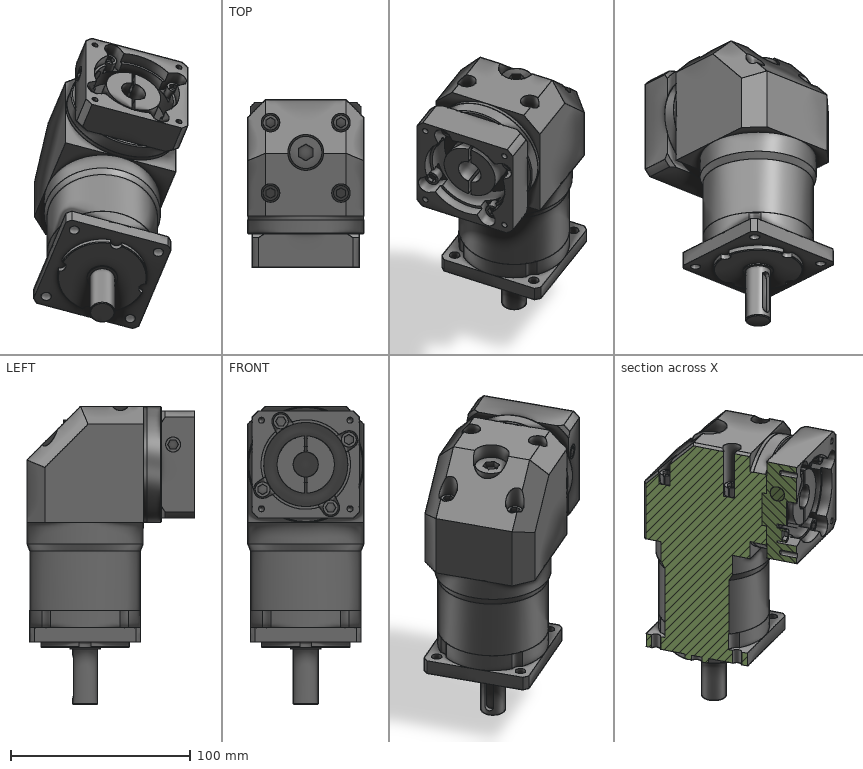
import cadquery as cq
import math


TOTAL_HEIGHT = 166.5
TOTAL_DEPTH = 93.5

HOUSING_WIDTH = 65.0
HOUSING_HALF = HOUSING_WIDTH / 2
SLANT = 30.0
SIDE_BEVEL = 10.0

COLLAR_BOTTOM = -44.3
CONE_BOTTOM = -48.3
SCALLOP_TOP = -81.6
FLANGE_TOP = -91.0
FLANGE_BOTTOM = -99.2
SPIGOT_BOTTOM = -102.2
SHAFT_SHOULDER = -103.0
SHAFT_END = HOUSING_HALF - TOTAL_HEIGHT

BASE_RADIUS = 31.0
BASE_STEP = 0.08
BARREL_RADIUS = BASE_RADIUS - BASE_STEP
SPIGOT_RADIUS = 25.0
SHOULDER_RADIUS = 8.5
SHAFT_RADIUS = 7.0
EDGE_CHAMFER = 0.5

FLANGE_CORNER_RADIUS = 42.0
BOLT_CIRCLE_RADIUS = 35.0
FLANGE_HOLE_RADIUS = 2.8
SCALLOP_RADIUS = 5.3
SPIGOT_NOTCH_RADIUS = 3.3

KEY_WIDTH = 5.0
KEY_LENGTH = 25.0
KEY_DEPTH = 3.0

NECK_WIDTH = 2.2
NECK_DEPTH = 0.2
RING_CHAMFER = 0.7

ADAPTER_FRONT = HOUSING_HALF - TOTAL_DEPTH
ADAPTER_BACK = -42.6
ADAPTER_WIDTH = 60.0
ADAPTER_CORNER_RADIUS = 40.0
ADAPTER_CORNER_CHAMFER = 2.0
PILOT_RADIUS = 25.0
PILOT_DEPTH = 6.2
CAVITY_RADIUS = 23.5
CENTRING_RADIUS = 25.8
CAVITY_FLOOR = ADAPTER_FRONT + 21.1
MOTOR_HOLE_RADIUS = 1.7
MOTOR_HOLE_DEPTH = 10.0
DRILL_TIP_HEIGHT = 1.0

SCREW_CIRCLE_RADIUS = 27.8
SCREW_HEAD_RADIUS = 4.2
SCREW_HEX_FLATS = 5.0
SCREW_HEX_DEPTH = 2.5
SCREW_HEAD_HEIGHT = 5.7
ADAPTER_BORE_RADIUS = 5.0
ADAPTER_BORE_DEPTH = 12.2
ADAPTER_SCREW_ANGLE = 30
LOBE_MOUTH_HALF_WIDTH = 5.5
LOBE_OVERLAP = 1.7
HOUSING_BORE_RADIUS = 5.2
HOUSING_BORE_FLOOR = 3.5

TOP_PLUG_Y = 3.0
TOP_PLUG_RADIUS = 9.0
TOP_PLUG_TOP = 25.0
TOP_PLUG_BORE_RADIUS = 10.0
TOP_PLUG_BORE_FLOOR = 20.0
TOP_PLUG_HEX_FLATS = 8.0
TOP_PLUG_HEX_DEPTH = 3.3

HUB_RADIUS = 16.0
HUB_FRONT = ADAPTER_FRONT + 6.0
HUB_BORE_RADIUS = 7.0
HUB_SLIT_WIDTH = 1.7
HUB_BORE_FLOOR = CAVITY_FLOOR + 3.3
HUB_RELIEF_RADIUS = 10.2
HUB_RELIEF_FLOOR = CAVITY_FLOOR + 1.0

CLAMP_Y = ADAPTER_FRONT + 12.0
CLAMP_Z = 11.2
CLAMP_HOLE_RADIUS = 3.3
ACCESS_PLUG_RADIUS = 4.2
ACCESS_PLUG_HEX_FLATS = 5.2
ACCESS_PLUG_HEX_DEPTH = 2.5


def cylinder_z(x, y, radius, bottom, top):
    return cq.Workplane("XY", origin=(x, y, bottom)).circle(radius).extrude(top - bottom)


def cylinder_y(x, z, radius, back, front):
    return cq.Workplane("XZ", origin=(x, back, z)).circle(radius).extrude(back - front)


def hex_corners(flats):
    """Diameter across the corners of a hexagon with the given width across flats."""
    return flats / math.cos(math.pi / 6)


def hex_socket_z(x, y, flats, top, depth):
    socket = cq.Workplane("XY").polygon(6, hex_corners(flats)).extrude(-depth)
    return socket.rotate((0, 0, 0), (0, 0, 1), 30).translate((x, y, top))


def around(radius, first_angle):
    """Four points a quarter turn apart on a circle."""
    angles = [math.radians(first_angle + 90 * i) for i in range(4)]
    return [(radius * math.cos(a), radius * math.sin(a)) for a in angles]




def angle_housing():
    """Block with a slanted back top edge and bevelled side edges."""
    h = HOUSING_HALF
    outline = [(-h, -h), (h, -h), (h, h - SLANT), (h - SLANT, h), (-h, h)]
    block = cq.Workplane("YZ", origin=(-h, 0, 0)).polyline(outline).close().extrude(HOUSING_WIDTH)
    bevelled = block.faces("<X or >X").edges("not(<Y or <Z)")
    return bevelled.chamfer(SIDE_BEVEL)


def output_barrel():
    """Turned barrel, spigot and shaft, revolved about Z."""
    profile = [
        (0, -HOUSING_HALF),
        (HOUSING_HALF, -HOUSING_HALF),
        (HOUSING_HALF, COLLAR_BOTTOM),
        (BARREL_RADIUS, CONE_BOTTOM),
        (BARREL_RADIUS, SCALLOP_TOP),
        (BASE_RADIUS, SCALLOP_TOP),
        (BASE_RADIUS, FLANGE_BOTTOM),
        (SPIGOT_RADIUS, FLANGE_BOTTOM),
        (SPIGOT_RADIUS, SPIGOT_BOTTOM + EDGE_CHAMFER),
        (SPIGOT_RADIUS - EDGE_CHAMFER, SPIGOT_BOTTOM),
        (SHOULDER_RADIUS, SPIGOT_BOTTOM),
        (SHOULDER_RADIUS, SHAFT_SHOULDER),
        (SHAFT_RADIUS, SHAFT_SHOULDER),
        (SHAFT_RADIUS, SHAFT_END + EDGE_CHAMFER),
        (SHAFT_RADIUS - EDGE_CHAMFER, SHAFT_END),
        (0, SHAFT_END),
    ]
    return cq.Workplane("XZ").polyline(profile).close().revolve(360, (0, 0, 0), (0, 1, 0))


def output_flange():
    """Square flange with its corners turned round."""
    width = 2 * BASE_RADIUS
    plate = cq.Workplane("XY", origin=(0, 0, FLANGE_BOTTOM)).rect(width, width)
    plate = plate.extrude(FLANGE_TOP - FLANGE_BOTTOM)
    return plate.intersect(cylinder_z(0, 0, FLANGE_CORNER_RADIUS, FLANGE_BOTTOM, FLANGE_TOP))


def cut_flange(body):
    """Bolt holes, the scallops above them and the notches in the spigot."""
    for x, y in around(BOLT_CIRCLE_RADIUS, 45):
        body = body.cut(cylinder_z(x, y, FLANGE_HOLE_RADIUS, FLANGE_BOTTOM, FLANGE_TOP))
        body = body.cut(cylinder_z(x, y, SCALLOP_RADIUS, FLANGE_TOP, SCALLOP_TOP))
    for x, y in around(SPIGOT_RADIUS, 0):
        body = body.cut(cylinder_z(x, y, SPIGOT_NOTCH_RADIUS, SPIGOT_BOTTOM, FLANGE_BOTTOM))
    return body


def keyway():
    middle = (SHAFT_SHOULDER + SHAFT_END) / 2
    slot = cq.Workplane("XZ", origin=(0, SHAFT_RADIUS, middle)).slot2D(KEY_LENGTH, KEY_WIDTH, 90)
    return slot.extrude(KEY_DEPTH)


def input_ring():
    """Round ring on the input face, slightly necked next to the housing."""
    neck_front = -HOUSING_HALF - NECK_WIDTH
    neck = cylinder_y(0, 0, HOUSING_HALF - NECK_DEPTH, -HOUSING_HALF, neck_front)
    ring = cylinder_y(0, 0, HOUSING_HALF, neck_front, ADAPTER_BACK)
    ring = ring.faces("<Y").chamfer(RING_CHAMFER)
    recess = cylinder_y(0, 0, CENTRING_RADIUS, CAVITY_FLOOR, ADAPTER_BACK)
    return ring.cut(recess).union(neck)


def clamping_hub():
    return cylinder_y(0, 0, HUB_RADIUS, CAVITY_FLOOR, HUB_FRONT)


def hub_cuts():
    """Bore with a recess behind the slit, clamping slit and cross hole for the clamp screw."""
    bore = cylinder_y(0, 0, HUB_BORE_RADIUS, HUB_BORE_FLOOR, HUB_FRONT)
    relief = cylinder_y(0, 0, HUB_RELIEF_RADIUS, HUB_RELIEF_FLOOR, CAVITY_FLOOR)
    slit = cq.Workplane("XZ", origin=(0, CAVITY_FLOOR, 0)).rect(HUB_SLIT_WIDTH, 2 * HUB_RADIUS)
    slit = slit.extrude(CAVITY_FLOOR - HUB_FRONT)
    cross = cq.Workplane("YZ", origin=(0, CLAMP_Y, CLAMP_Z)).circle(CLAMP_HOLE_RADIUS)
    cross = cross.extrude(HUB_RADIUS, both=True)
    return bore.union(relief).union(slit).union(cross)


def add_housing_screws(body):
    """Sunk socket screws that hold the housing down on the barrel."""
    head_top = HOUSING_BORE_FLOOR + SCREW_HEAD_HEIGHT
    for x, y in around(SCREW_CIRCLE_RADIUS, 45):
        body = body.cut(cylinder_z(x, y, HOUSING_BORE_RADIUS, HOUSING_BORE_FLOOR, HOUSING_HALF))
        head = cylinder_z(x, y, SCREW_HEAD_RADIUS, HOUSING_BORE_FLOOR, head_top)
        body = body.union(head.cut(hex_socket_z(x, y, SCREW_HEX_FLATS, head_top, SCREW_HEX_DEPTH)))
    return body


def add_top_plug(body):
    """Socket plug in a bore that breaks out through the slanted face."""
    y = TOP_PLUG_Y
    bore = cylinder_z(0, y, TOP_PLUG_BORE_RADIUS, TOP_PLUG_BORE_FLOOR, HOUSING_HALF)
    plug = cylinder_z(0, y, TOP_PLUG_RADIUS, TOP_PLUG_BORE_FLOOR, TOP_PLUG_TOP)
    socket = hex_socket_z(0, y, TOP_PLUG_HEX_FLATS, TOP_PLUG_TOP, TOP_PLUG_HEX_DEPTH)
    return body.cut(bore).union(plug.cut(socket))


def make_gearbox():
    body = angle_housing().union(output_barrel()).union(output_flange())
    body = cut_flange(body).cut(keyway())
    body = body.union(input_ring()).union(clamping_hub()).cut(hub_cuts())
    body = add_housing_screws(body)
    return add_top_plug(body)




def adapter_block():
    """Square block with turned corners, chamfered at the back."""
    block = cq.Workplane("XZ", origin=(0, ADAPTER_BACK, 0)).rect(ADAPTER_WIDTH, ADAPTER_WIDTH)
    block = block.extrude(ADAPTER_BACK - ADAPTER_FRONT)
    disc = cylinder_y(0, 0, ADAPTER_CORNER_RADIUS, ADAPTER_BACK, ADAPTER_FRONT)
    return block.intersect(disc.faces(">Y").chamfer(ADAPTER_CORNER_CHAMFER))


def screw_lobe():
    """Screw counterbore that opens towards the pilot bore, on the +X axis."""
    bore_back = ADAPTER_FRONT + ADAPTER_BORE_DEPTH
    bore = cylinder_y(SCREW_CIRCLE_RADIUS, 0, ADAPTER_BORE_RADIUS, bore_back, ADAPTER_FRONT)
    inner = CAVITY_RADIUS - LOBE_OVERLAP
    mouth = [
        (SCREW_CIRCLE_RADIUS, ADAPTER_BORE_RADIUS),
        (inner, LOBE_MOUTH_HALF_WIDTH),
        (inner, -LOBE_MOUTH_HALF_WIDTH),
        (SCREW_CIRCLE_RADIUS, -ADAPTER_BORE_RADIUS),
    ]
    channel = cq.Workplane("XZ", origin=(0, bore_back, 0)).polyline(mouth).close()
    return bore.union(channel.extrude(ADAPTER_BORE_DEPTH))


def adapter_screw():
    """Socket screw head standing on the lobe floor, on the +X axis."""
    floor = ADAPTER_FRONT + ADAPTER_BORE_DEPTH
    front = floor - SCREW_HEAD_HEIGHT
    head = cylinder_y(SCREW_CIRCLE_RADIUS, 0, SCREW_HEAD_RADIUS, floor, front)
    socket = cq.Workplane("XZ", origin=(SCREW_CIRCLE_RADIUS, front, 0))
    socket = socket.polygon(6, hex_corners(SCREW_HEX_FLATS)).extrude(-SCREW_HEX_DEPTH)
    return head.cut(socket)


def motor_hole(x, z):
    """Blind drilled hole with a conical tip."""
    tip = MOTOR_HOLE_DEPTH + DRILL_TIP_HEIGHT
    profile = [(0, 0), (MOTOR_HOLE_RADIUS, 0), (MOTOR_HOLE_RADIUS, MOTOR_HOLE_DEPTH), (0, tip)]
    hole = cq.Workplane("XY").polyline(profile).close().revolve(360, (0, 0, 0), (0, 1, 0))
    return hole.translate((x, ADAPTER_FRONT, z))


def access_bore():
    """Hole from the -X side of the adapter to the clamp screw."""
    bore = cq.Workplane("YZ", origin=(-ADAPTER_WIDTH / 2, CLAMP_Y, CLAMP_Z))
    return bore.circle(ACCESS_PLUG_RADIUS).extrude(ADAPTER_WIDTH / 2)


def make_adapter():
    body = adapter_block().union(cylinder_y(0, 0, CENTRING_RADIUS, CAVITY_FLOOR, ADAPTER_BACK))
    body = body.cut(cylinder_y(0, 0, PILOT_RADIUS, ADAPTER_FRONT + PILOT_DEPTH, ADAPTER_FRONT))
    body = body.cut(cylinder_y(0, 0, CAVITY_RADIUS, CAVITY_FLOOR, ADAPTER_FRONT))
    for i in range(4):
        angle = ADAPTER_SCREW_ANGLE + 90 * i
        body = body.cut(screw_lobe().rotate((0, 0, 0), (0, 1, 0), -angle))
        body = body.union(adapter_screw().rotate((0, 0, 0), (0, 1, 0), -angle))
    for x, z in around(BOLT_CIRCLE_RADIUS, 45):
        body = body.cut(motor_hole(x, z))
    return body.cut(access_bore())




def make_access_plug():
    """Socket plug that closes the access bore flush with the adapter side."""
    cavity = cylinder_y(0, 0, CAVITY_RADIUS, CAVITY_FLOOR, ADAPTER_FRONT)
    plug = access_bore().cut(cavity)
    socket = cq.Workplane("YZ", origin=(-ADAPTER_WIDTH / 2, CLAMP_Y, CLAMP_Z))
    socket = socket.polygon(6, hex_corners(ACCESS_PLUG_HEX_FLATS)).extrude(ACCESS_PLUG_HEX_DEPTH)
    return plug.cut(socket)


gearbox = make_gearbox().solids()
adapter = make_adapter().solids()
access_plug = make_access_plug().solids()

result = cq.Compound.makeCompound([gearbox.val(), adapter.val(), access_plug.val()])